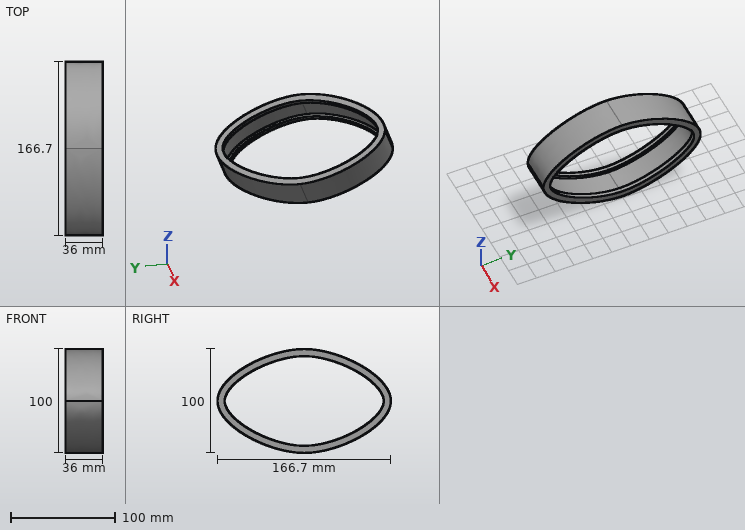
import math

import cadquery as cq

ring_length = 36.0
half_width = 500.0 / 6.0
half_height = 50.0

wall_thickness = 7.0
groove_depth = 3.0
lip_length = 5.0

crown_handle = 34.5
side_handle = 24.1

quarter_spans = 12


def quarter_point(t, inset):
    """Point (y, z) on the +Y +Z quarter, moved inward along the outline's normal.

    The cubic Bezier runs from the +Y side (t = 0) to the crown (t = 1).
    """
    s = 1 - t
    y = half_width * (s**3 + 3 * s**2 * t) + crown_handle * 3 * s * t**2
    z = side_handle * 3 * s**2 * t + half_height * (3 * s * t**2 + t**3)
    y_slope = 6 * s * t * (crown_handle - half_width) - 3 * t**2 * crown_handle
    z_slope = 3 * s**2 * side_handle + 6 * s * t * (half_height - side_handle)
    speed = math.hypot(y_slope, z_slope)
    return y - inset * z_slope / speed, z + inset * y_slope / speed


def oval_prism(inset, length):
    """Oval solid centred on the origin, inset evenly from the outer oval."""
    points = [quarter_point(i / quarter_spans, inset) for i in range(quarter_spans + 1)]
    quarter = (
        cq.Workplane("YZ")
        .workplane(offset=-length / 2)
        .lineTo(*points[0])
        .spline(points[1:], tangents=[(0, 1), (-1, 0)], scale=False, includeCurrent=True)
        .close()
        .extrude(length)
    )
    upper_half = quarter.union(quarter.mirror("XZ"))
    return upper_half.union(upper_half.mirror("XY"))


def cut_bore(ring):
    """Open the ring from end to end at the size of the lips."""
    return ring.cut(oval_prism(wall_thickness, ring_length))


def cut_inner_groove(ring):
    """Widen the bore between the two end lips."""
    groove_length = ring_length - 2 * lip_length
    return ring.cut(oval_prism(wall_thickness - groove_depth, groove_length))


ring = oval_prism(0, ring_length)
ring = cut_bore(ring)
result = cut_inner_groove(ring)